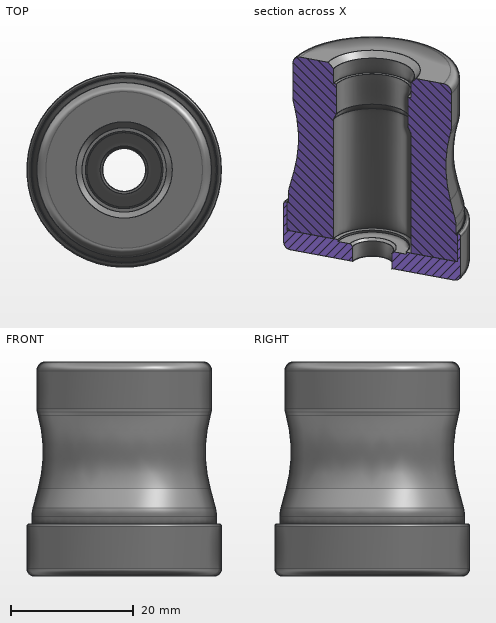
import cadquery as cq
import math

total_height = 34.92

base_diameter = 31.75
base_radius = base_diameter / 2
base_height = 8.5
base_bottom_fillet = 1.22
base_top_fillet = 0.4
seat_radius = 15.23
seat_height = 3.5
recess_radius = 6.08
recess_depth = 0.35
drain_radius = 3.5
drain_chamfer = 0.42

skirt_radius = 15.05
collar_radius = 14.25
collar_fillet = 1.45
waist_radius = 13.25
waist_height = 20.22
waist_arc_radius = 22.9
flare_angle = math.radians(15)
collar_blend = 2.1
skirt_blend = 5.25

mouth_radius = 6.88
mouth_chamfer = 0.98
ledge_depth = 3.6
bore_radius = 6.32
bore_end_depth = 8.97
lower_bore_radius = mouth_radius
relief_height = 1.05


def make_base():
    base = cq.Workplane("XY").circle(base_radius).extrude(base_height)
    base = base.faces("<Z").edges().fillet(base_bottom_fillet)
    base = base.faces(">Z").edges().fillet(base_top_fillet)

    seat = cq.Workplane("XY").workplane(offset=seat_height).circle(seat_radius)
    base = base.cut(seat.extrude(base_height - seat_height))
    recess_floor = seat_height - recess_depth
    recess = cq.Workplane("XY").workplane(offset=recess_floor).circle(recess_radius)
    base = base.cut(recess.extrude(recess_depth))
    base = base.cut(cq.Workplane("XY").circle(drain_radius).extrude(recess_floor))
    chamfer_base = cq.Vector(0, 0, recess_floor - drain_chamfer)
    countersink = cq.Solid.makeCone(drain_radius, drain_radius + drain_chamfer, drain_chamfer, chamfer_base)
    return base.cut(cq.Workplane(countersink))


def blend_point(radius, end_height, blend_radius, angle, toward):
    """Point reached on a blend after turning by angle from the vertical wall."""
    drop = blend_radius * (1 - math.cos(angle))
    rise = blend_radius * math.sin(angle)
    return radius - drop, end_height + toward * rise


def make_sleeve():
    arc_rise = waist_arc_radius * math.sin(flare_angle)
    arc_end_radius = waist_radius + waist_arc_radius * (1 - math.cos(flare_angle))
    arc_top = (arc_end_radius, waist_height + arc_rise)
    arc_bottom = (arc_end_radius, waist_height - arc_rise)

    def blend_heights(wall_radius, blend_radius):
        flare_end_radius = wall_radius - blend_radius * (1 - math.cos(flare_angle))
        flare_rise = (flare_end_radius - arc_end_radius) / math.tan(flare_angle)
        return arc_rise + flare_rise + blend_radius * math.sin(flare_angle)

    collar_bottom = waist_height + blend_heights(collar_radius, collar_blend)
    skirt_top = waist_height - blend_heights(skirt_radius, skirt_blend)
    half_angle = flare_angle / 2

    bore_end = total_height - bore_end_depth
    ledge_height = total_height - ledge_depth
    profile = (
        cq.Workplane("XZ")
        .moveTo(lower_bore_radius, seat_height)
        .lineTo(seat_radius, seat_height)
        .lineTo(seat_radius, base_height)
        .lineTo(skirt_radius, base_height)
        .lineTo(skirt_radius, skirt_top)
        .threePointArc(
            blend_point(skirt_radius, skirt_top, skirt_blend, half_angle, 1),
            blend_point(skirt_radius, skirt_top, skirt_blend, flare_angle, 1),
        )
        .lineTo(*arc_bottom)
        .threePointArc((waist_radius, waist_height), arc_top)
        .lineTo(*blend_point(collar_radius, collar_bottom, collar_blend, flare_angle, -1))
        .threePointArc(
            blend_point(collar_radius, collar_bottom, collar_blend, half_angle, -1),
            (collar_radius, collar_bottom),
        )
        .lineTo(collar_radius, total_height - collar_fillet)
        .radiusArc((collar_radius - collar_fillet, total_height), -collar_fillet)
        .lineTo(mouth_radius + mouth_chamfer, total_height)
        .lineTo(mouth_radius, total_height - mouth_chamfer)
        .lineTo(mouth_radius, ledge_height)
        .lineTo(bore_radius, ledge_height)
        .lineTo(bore_radius, bore_end)
        .lineTo(lower_bore_radius, bore_end - relief_height)
        .close()
    )
    return profile.revolve(360, (0, 0, 0), (0, 1, 0))


base = make_base()
sleeve = make_sleeve()
result = cq.Compound.makeCompound([base.val(), sleeve.val()])